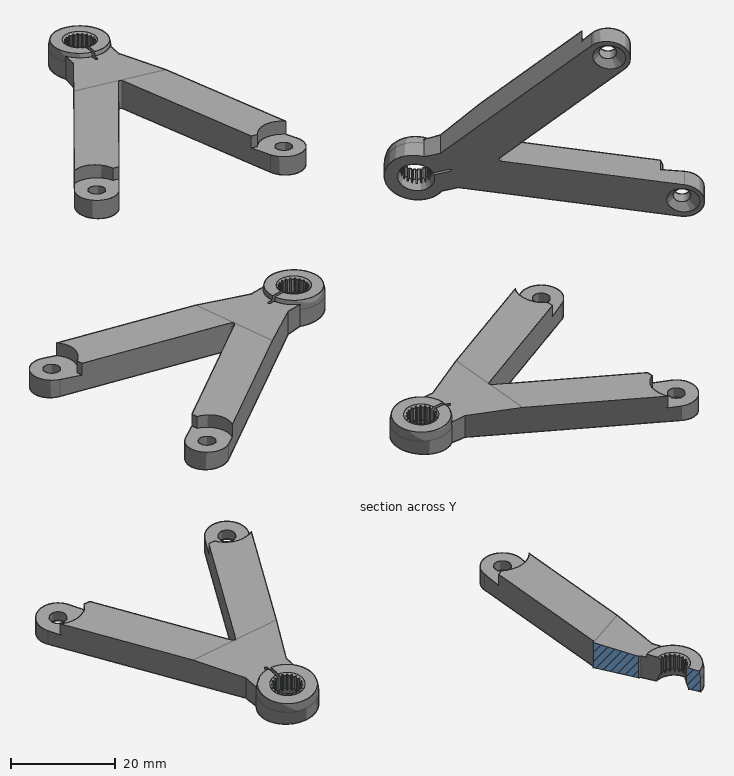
import cadquery as cq
import math

overall_length = 57.2
overall_width = 48.6
overall_height = 9.9
slope_angle = 5.0

hub_radius = 6.0
hub_top_radius = 5.7
hub_taper_height = 1.95

groove_count = 20
spline_offset_x = 0.1
spline_tip_radius = 2.65
spline_root_radius = 3.0
groove_mouth_width = 0.4
groove_root_width = 0.25
bore_top_radius = 3.4
bore_top_depth = 0.3
bore_bottom_radius = 3.55
bore_bottom_depth = 2.3

slot_width = 0.6
slot_end_x = 7.25

arm_top_drop = 0.85
arm_fold_x = 17.05
neck_half_width = 4.8
neck_end_x = 6.9
crotch_radius = 0.5

pad_radius = 4.3
pad_top_drop = 5.9
pad_relief_radius = 5.05
pad_relief_back = 2.2
pad_hole_diameter = 3.4
pad_countersink_radius = 3.15

slope = math.tan(math.radians(slope_angle))
tip_x = overall_length - hub_radius
pad_x = tip_x - pad_radius
pad_y = overall_width / 2 - pad_radius
margin = 2.85
cut_depth = overall_height + margin


def underside_z(x):
    """Height of the sloping underside at a given x."""
    return -overall_height + (tip_x - x) * slope


def cone(x, y, z, radius, end_radius, height):
    """A tapered cutter about a vertical axis, with one radius at z and another at z + height.

    The same taper is carried on outside the part, to z - height.
    """
    outer_radius = 2 * radius - end_radius
    return (
        cq.Workplane("XZ", origin=(x, y, z))
        .moveTo(0, -height)
        .lineTo(outer_radius, -height)
        .lineTo(end_radius, height)
        .lineTo(0, height)
        .close()
        .revolve(360, (0, 0), (0, 1))
    )


def make_hub():
    """Round hub whose wall curves inward towards its top face."""
    lower_z = -overall_height
    taper_inset = hub_radius - hub_top_radius
    arc_radius = (hub_taper_height**2 + taper_inset**2) / (2 * taper_inset)
    half_sweep = math.asin(hub_taper_height / arc_radius) / 2
    arc_middle = (
        hub_radius - arc_radius * (1 - math.cos(half_sweep)),
        -hub_taper_height + arc_radius * math.sin(half_sweep),
    )
    return (
        cq.Workplane("XZ")
        .moveTo(0, lower_z)
        .lineTo(hub_radius, lower_z)
        .lineTo(hub_radius, -hub_taper_height)
        .threePointArc(arc_middle, (hub_top_radius, 0))
        .lineTo(0, 0)
        .close()
        .revolve(360, (0, 0), (0, 1))
    )


def make_arms():
    """Y-shaped plate: a neck that forks into two straight arms with round ends."""
    reach_x = pad_x - neck_end_x
    reach_y = pad_y - neck_half_width
    edge_angle = math.atan2(reach_y, reach_x) + math.asin(pad_radius / math.hypot(reach_x, reach_y))
    across_x = pad_radius * math.sin(edge_angle)
    across_y = pad_radius * math.cos(edge_angle)
    along_x = pad_radius * math.cos(edge_angle)
    along_y = pad_radius * math.sin(edge_angle)
    inner_x = pad_x + across_x
    inner_y = pad_y - across_y
    crotch_x = inner_x - inner_y / math.tan(edge_angle)
    outline = (
        cq.Workplane("XY")
        .moveTo(0, neck_half_width)
        .lineTo(neck_end_x, neck_half_width)
        .lineTo(pad_x - across_x, pad_y + across_y)
        .threePointArc((pad_x + along_x, pad_y + along_y), (inner_x, inner_y))
        .lineTo(crotch_x, 0)
        .lineTo(inner_x, -inner_y)
        .threePointArc((pad_x + along_x, -pad_y - along_y), (pad_x - across_x, -pad_y - across_y))
        .lineTo(neck_end_x, -neck_half_width)
        .lineTo(0, -neck_half_width)
        .close()
        .extrude(-overall_height)
    )
    crotch_edge = cq.selectors.NearestToPointSelector((crotch_x, 0, -overall_height / 2))
    outline = outline.edges(crotch_edge).fillet(crotch_radius)
    end_x = tip_x + margin
    side_profile = (
        cq.Workplane("XZ")
        .moveTo(0, -arm_top_drop)
        .lineTo(arm_fold_x, -arm_top_drop)
        .lineTo(end_x, -arm_top_drop - (end_x - arm_fold_x) * slope)
        .lineTo(end_x, -overall_height)
        .lineTo(0, -overall_height)
        .close()
        .extrude(overall_width, both=True)
    )
    return outline.intersect(side_profile)


def make_underside_cutter():
    """Wedge that removes everything below the sloping underside."""
    start_x = -hub_radius - margin
    end_x = tip_x + margin
    floor_z = -overall_height - margin
    return (
        cq.Workplane("XZ")
        .moveTo(start_x, underside_z(start_x))
        .lineTo(end_x, underside_z(end_x))
        .lineTo(end_x, floor_z)
        .lineTo(start_x, floor_z)
        .close()
        .extrude(overall_width, both=True)
    )


def make_pad_step(y):
    """Cutter that clears the material above one end pad."""
    round_step = (
        cq.Workplane("XY", origin=(pad_x, y, -pad_top_drop))
        .circle(pad_relief_radius)
        .extrude(pad_top_drop)
    )
    straight_length = pad_relief_back + pad_radius + margin
    straight_width = 2 * (pad_radius + margin)
    straight_step = (
        cq.Workplane("XY", origin=(pad_x - pad_relief_back, y, -pad_top_drop))
        .box(straight_length, straight_width, pad_top_drop, centered=(False, True, False))
    )
    return round_step.union(straight_step)


def make_pad_hole(y):
    """Through hole with a 45-degree countersink from the underside."""
    hole_radius = pad_hole_diameter / 2
    hole = cq.Workplane("XY", origin=(pad_x, y, 0)).circle(hole_radius).extrude(-cut_depth)
    countersink_depth = pad_countersink_radius - hole_radius
    countersink = cone(
        pad_x, y, underside_z(pad_x), pad_countersink_radius, hole_radius, countersink_depth
    )
    return hole.union(countersink)


def make_bore():
    """Bore with evenly spaced tapered grooves, slightly off the hub axis, countersunk at both ends."""
    bore = cq.Workplane("XY").circle(spline_tip_radius).extrude(-cut_depth)
    half_mouth = groove_mouth_width / 2
    half_root = groove_root_width / 2
    groove = (
        cq.Workplane("XY")
        .moveTo(0, -half_mouth)
        .lineTo(spline_tip_radius, -half_mouth)
        .lineTo(spline_root_radius, -half_root)
        .lineTo(spline_root_radius, half_root)
        .lineTo(spline_tip_radius, half_mouth)
        .lineTo(0, half_mouth)
        .close()
        .extrude(-cut_depth)
    )
    for index in range(groove_count):
        bore = bore.union(groove.rotate((0, 0, 0), (0, 0, 1), index * 360 / groove_count))
    bore = bore.translate((spline_offset_x, 0, 0))
    top_countersink = cone(0, 0, 0, bore_top_radius, spline_tip_radius, -bore_top_depth)
    bottom_countersink = cone(
        0, 0, underside_z(0), bore_bottom_radius, spline_tip_radius, bore_bottom_depth
    )
    return bore.union(top_countersink).union(bottom_countersink)


def make_slot():
    """Narrow slot from the bore into the neck, with a round end."""
    end_radius = slot_width / 2
    straight_end_x = slot_end_x - end_radius
    return (
        cq.Workplane("XY")
        .moveTo(0, -end_radius)
        .lineTo(straight_end_x, -end_radius)
        .threePointArc((slot_end_x, 0), (straight_end_x, end_radius))
        .lineTo(0, end_radius)
        .close()
        .extrude(-cut_depth)
    )


body = make_hub().union(make_arms()).cut(make_underside_cutter())
for side in (-1, 1):
    body = body.cut(make_pad_step(side * pad_y)).cut(make_pad_hole(side * pad_y))
result = body.cut(make_bore()).cut(make_slot())